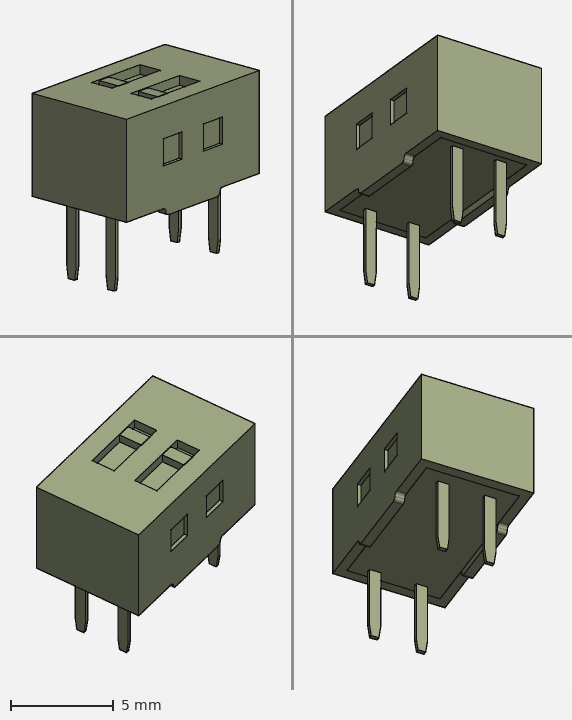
import cadquery as cq


width = 6.08
length = 9.9
height = 5.3
side_wall = 0.52
top_wall = 0.495
foot_width = 4.0
foot_height = 0.4
foot_radius = foot_height / 2

pitch = 2.53
way_xs = (-pitch / 2, pitch / 2)

slot_width = 1.31
slot_length = 3.6
slider_length = 0.72
slider_y = -0.89
slider_drop = 0.04

window_size = 1.4
window_spacing = 3.0
window_z = 2.9
latch_recess = 0.2

base_width = width - 2 * side_wall
base_length = length - 2 * side_wall
base_height = height - top_wall
pin_width = 0.61
pin_thickness = 0.2
pin_length = 4.1
pin_tip_length = 0.7
pin_tip_width = 0.42
pin_row_spacing = 7.62
pin_row_offset = -0.16
pin_ys = (pin_row_offset - pin_row_spacing / 2, pin_row_offset + pin_row_spacing / 2)


def block(x_size, y_size, z_size):
    """Block centred in X and Y, standing on Z = 0."""
    return cq.Workplane("XY").box(x_size, y_size, z_size, centered=(True, True, False))


def window_row(depth):
    """Two square bars running through the full depth along X."""
    return (
        cq.Workplane("YZ", origin=(-depth / 2, 0, window_z))
        .rarray(window_spacing, 0.1, 2, 1)
        .rect(window_size, window_size)
        .extrude(depth)
    )


def make_feet():
    """Feet below the long sides, each end an inner round running into an outer round."""
    half = foot_width / 2
    r = foot_radius
    profile = (
        cq.Workplane("YZ", origin=(-width / 2, 0, 0))
        .moveTo(-half - r, 0)
        .radiusArc((-half, -r), r)
        .radiusArc((-half + r, -foot_height), -r)
        .lineTo(half - r, -foot_height)
        .radiusArc((half, -r), -r)
        .radiusArc((half + r, 0), r)
        .close()
    )
    across = profile.extrude(width)
    gap = block(base_width, length, foot_height).translate((0, 0, -foot_height))
    return across.cut(gap)


def make_cover():
    cover = block(width, length, height).union(make_feet())
    cover = cover.cut(block(base_width, base_length, base_height))
    cover = cover.cut(window_row(width))
    for x in way_xs:
        cover = cover.cut(block(slot_width, slot_length, height).translate((x, 0, 0)))
    return cover


def make_pin():
    """Flat pin hanging below Z = 0 with a tapered tip."""
    taper_z = pin_tip_length - pin_length
    outline = [
        (-pin_width / 2, 0),
        (pin_width / 2, 0),
        (pin_width / 2, taper_z),
        (pin_tip_width / 2, -pin_length),
        (-pin_tip_width / 2, -pin_length),
        (-pin_width / 2, taper_z),
    ]
    return cq.Workplane("XZ").polyline(outline).close().extrude(pin_thickness / 2, both=True)


def make_base():
    """Block filling the cover, with latches in the windows and four pins."""
    base = block(base_width, base_length, base_height)
    base = base.union(window_row(width - 2 * latch_recess))
    for x in way_xs:
        for y in pin_ys:
            base = base.union(make_pin().translate((x, y, 0)))
    return base


def make_slider(x):
    """Slider knob standing on the base, as wide as its slot."""
    knob = block(slot_width, slider_length, top_wall - slider_drop)
    return knob.translate((x, slider_y, base_height))


cover = make_cover()
base = make_base()
sliders = [make_slider(x) for x in way_xs]

result = cq.Compound.makeCompound([cover.val(), base.val(), *[slider.val() for slider in sliders]])